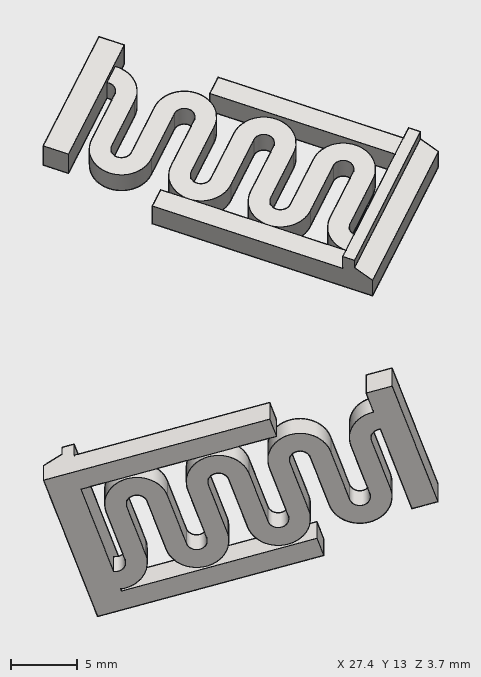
import cadquery as cq

length = 27.4
width = 13.0
height = 3.7

bar_thickness = 2.05
bar_length = 11.01
bar_height = 2.4

arm_start = 9.62
arm_thickness = 1.65
arm_height = 2.22

wall_start = 25.0
lip_thickness = 0.95
shoulder_top = 2.8
shoulder_bottom = 1.95

spring_height = 1.97
strip_width = 1.62
leg_pitch = 3.2
leg_count = 7
first_leg_x = 3.8
turn_center_y = 2.27
turn_radius = leg_pitch / 2
inner_radius = turn_radius - strip_width / 2
outer_radius = turn_radius + strip_width / 2


def block(x_start, x_end, y_start, y_end, block_height):
    return cq.Workplane("XY").box(
        x_end - x_start, y_end - y_start, block_height, centered=False
    ).translate((x_start, y_start, 0))


def spring_turn(center_x, side):
    """Half ring joining two legs; side is +1 for the +Y end and -1 for the -Y end."""
    center_y = side * turn_center_y
    ring = (
        cq.Workplane("XY")
        .center(center_x, center_y)
        .circle(outer_radius)
        .circle(inner_radius)
        .extrude(spring_height)
    )
    outer_edge_y = side * (turn_center_y + outer_radius)
    half = block(
        center_x - outer_radius,
        center_x + outer_radius,
        min(center_y, outer_edge_y),
        max(center_y, outer_edge_y),
        spring_height,
    )
    return ring.intersect(half)


def make_spring():
    first_turn_x = first_leg_x - turn_radius
    spring = spring_turn(first_turn_x, 1)
    for index in range(leg_count):
        leg_x = first_leg_x + index * leg_pitch
        leg = block(
            leg_x - strip_width / 2,
            leg_x + strip_width / 2,
            -turn_center_y,
            turn_center_y,
            spring_height,
        )
        turn_side = -1 if index % 2 == 0 else 1
        spring = spring.union(leg).union(spring_turn(leg_x + turn_radius, turn_side))
    span = block(bar_thickness, wall_start, -width / 2, width / 2, spring_height)
    return spring.intersect(span)


def make_cross_wall():
    lip_end = wall_start + lip_thickness
    return (
        cq.Workplane("XZ", origin=(0, width / 2, 0))
        .moveTo(wall_start, 0)
        .lineTo(length, 0)
        .lineTo(length, shoulder_bottom)
        .lineTo(lip_end, shoulder_top)
        .lineTo(lip_end, height)
        .lineTo(wall_start, height)
        .close()
        .extrude(width)
    )


end_bar = block(0, bar_thickness, width / 2 - bar_length, width / 2, bar_height)
upper_arm = block(arm_start, wall_start, width / 2 - arm_thickness, width / 2, arm_height)
lower_arm = upper_arm.mirror("XZ")

result = make_cross_wall().union(upper_arm).union(lower_arm).union(make_spring()).union(end_bar)